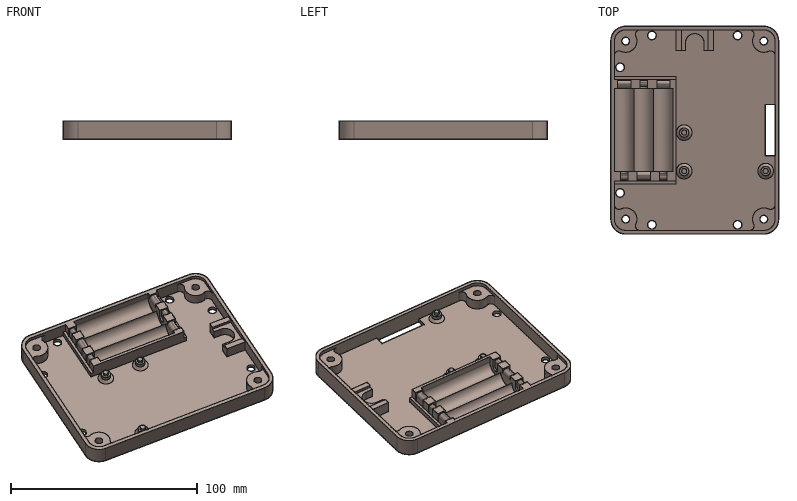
import cadquery as cq
import math

length_x = 90.0
length_y = 111.4
height = 10.0
wall = 2.0
floor = 2.0
outer_radius = 8.0
inner_x = length_x / 2 - wall
inner_y = length_y / 2 - wall
inner_radius = outer_radius - wall

boss_x = length_x / 2 - outer_radius
boss_y = length_y / 2 - outer_radius
boss_radius = inner_radius
boss_blend_radius = 2.5
boss_top = 8.0
screw_hole_diameter = 4.0

floor_hole_diameter = 4.5
floor_hole_wall_gap = 3.0
end_hole_x = 23.0
side_hole_y = 33.6
window_width = 5.2
window_length = 27.4

cradle_width = 20.2
cradle_length = 11.0
cradle_height = 5.0
ridge_width = 3.0
ridge_height = 6.5
notch_width = 10.0
notch_centre_y = 46.7

pin_places = [(-5.7, -1.3), (-5.7, -22.0), (38.0, -22.0)]
foot_diameter = 8.4
foot_height = 1.3
post_diameter = 5.0
post_height = 2.0
pin_diameter = 2.8
pin_height = 1.6

cell_radius = 5.2
cell_count = 3
cell_length = 44.6
cell_axis_z = 6.3
holder_side_wall = 1.6
holder_end_wall = 4.9
holder_ledge = 1.6
holder_ledge_top = 4.8
holder_inner_x = -inner_x + cell_count * 2 * cell_radius
holder_outer_x = holder_inner_x + holder_side_wall
holder_half_length = cell_length / 2 + holder_end_wall

contact_recess = 0.6
wide_slot_width = 7.0
wide_bar_thickness = holder_end_wall - contact_recess
wide_bar_round = 2.0
narrow_slot_width = 4.0
narrow_bar_setback = 1.1
narrow_bar_thickness = wide_bar_thickness - narrow_bar_setback
narrow_bar_round = 1.0
bar_top = 9.4
slot_bottom_z = 3.6
recess_bottom_z = 3.0


def block(x_min, x_max, y_min, y_max, z_min, z_max):
    size = (x_max - x_min, y_max - y_min, z_max - z_min)
    return cq.Workplane("XY").box(*size, centered=False).translate((x_min, y_min, z_min))


def rounded_block(half_x, half_y, radius, z_min, z_max):
    return block(-half_x, half_x, -half_y, half_y, z_min, z_max).edges("|Z").fillet(radius)


def in_four_quadrants(x, y):
    return [(x, y), (-x, y), (x, -y), (-x, -y)]


def corner_boss():
    """Boss of the +X +Y corner, blended into both walls by concave arcs."""
    reach = math.sqrt((boss_radius + boss_blend_radius) ** 2 - (boss_radius - boss_blend_radius) ** 2)
    tangent_share = boss_radius / (boss_radius + boss_blend_radius)
    near = tangent_share * (boss_radius - boss_blend_radius)
    far = tangent_share * reach
    diagonal = boss_radius * math.sqrt(0.5)
    return (
        cq.Workplane("XY", origin=(boss_x, boss_y, floor))
        .moveTo(0, boss_radius)
        .lineTo(-reach, boss_radius)
        .radiusArc((-far, near), boss_blend_radius)
        .threePointArc((-diagonal, -diagonal), (near, -far))
        .radiusArc((boss_radius, -reach), boss_blend_radius)
        .lineTo(boss_radius, 0)
        .threePointArc((diagonal, diagonal), (0, boss_radius))
        .close()
        .extrude(boss_top - floor)
    )


def cradle():
    half = cradle_width / 2
    y_min = inner_y - cradle_length
    body = block(-half, half, y_min, inner_y, floor, floor + cradle_height)
    for x_min in (-half, half - ridge_width):
        body = body.union(block(x_min, x_min + ridge_width, y_min, inner_y, floor, floor + ridge_height))
    notch = block(-notch_width / 2, notch_width / 2, y_min, notch_centre_y, floor, height)
    notch_end = cq.Workplane("XY", origin=(0, notch_centre_y, floor)).circle(notch_width / 2).extrude(height)
    return body.cut(notch).cut(notch_end)


def stepped_pin(x, y):
    foot_top = floor + foot_height
    post_top = foot_top + post_height
    pin_top = post_top + pin_height
    return (
        cq.Workplane("XZ", origin=(x, y, 0))
        .moveTo(0, floor)
        .lineTo(foot_diameter / 2, floor)
        .lineTo(post_diameter / 2, foot_top)
        .lineTo(post_diameter / 2, post_top)
        .lineTo(pin_diameter / 2, post_top)
        .lineTo(pin_diameter / 2, pin_top)
        .lineTo(0, pin_top)
        .close()
        .revolve(360, (0, 0, 0), (0, 1, 0))
    )


def cell_axis_x(cell):
    return -inner_x + (2 * cell + 1) * cell_radius


def cell_troughs():
    """Space for the cells: half-round troughs side by side, open to the top."""
    outline = cq.Workplane("XZ", origin=(0, cell_length / 2, 0)).moveTo(-inner_x, height)
    outline = outline.lineTo(-inner_x, cell_axis_z)
    for cell in range(cell_count):
        x = cell_axis_x(cell)
        outline = outline.threePointArc((x, cell_axis_z - cell_radius), (x + cell_radius, cell_axis_z))
    return outline.lineTo(holder_inner_x, height).close().extrude(cell_length)


def round_edged_bar(x, width, y_min, y_max, edge_radius):
    bar = block(x - width / 2, x + width / 2, y_min, y_max, recess_bottom_z, bar_top)
    return bar.edges("|X and >Z").fillet(edge_radius)


def contact_gap(holder, x, width):
    """Opens the +Y end wall across its whole thickness, down to the foot of the contact bar."""
    y_in = cell_length / 2
    y_bar_out = holder_half_length - contact_recess
    opening = block(x - width / 2, x + width / 2, y_in, holder_half_length, bar_top - wide_bar_round, height)
    recess = block(x - width / 2, x + width / 2, y_bar_out, holder_half_length, recess_bottom_z, height)
    return holder.cut(opening).cut(recess)


def wide_contact(holder, x):
    """Gap in the +Y end wall, holding a bar flush with the trough end."""
    y_in = cell_length / 2
    bar = round_edged_bar(x, wide_slot_width, y_in, y_in + wide_bar_thickness, wide_bar_round)
    return contact_gap(holder, x, wide_slot_width).union(bar)


def narrow_contact(holder, x):
    """Gap in the +Y end wall, holding a bar set back behind a round-bottomed slot."""
    radius = narrow_slot_width / 2
    y_in = cell_length / 2
    y_bar_in = y_in + narrow_bar_setback
    slot_centre_z = slot_bottom_z + radius
    slot = block(x - radius, x + radius, y_in, y_bar_in, slot_centre_z, height)
    slot_end = cq.Workplane("XZ", origin=(x, y_bar_in, slot_centre_z)).circle(radius)
    slot = slot.union(slot_end.extrude(narrow_bar_setback))
    bar = round_edged_bar(x, narrow_slot_width, y_bar_in, y_bar_in + narrow_bar_thickness, narrow_bar_round)
    return contact_gap(holder, x, narrow_slot_width).cut(slot).union(bar)


def turned_end_for_end(body):
    return body.mirror("XZ")


def battery_holder():
    """Holder body with its contacts; wide and narrow ones alternate and swap at the other end."""
    ledge_end = holder_half_length + holder_ledge
    ledge = block(-inner_x, holder_outer_x, -ledge_end, ledge_end, floor, holder_ledge_top)
    body = block(-inner_x, holder_outer_x, -holder_half_length, holder_half_length, floor, height)
    body = body.union(ledge)
    for wide_parity in (0, 1):
        for cell in range(cell_count):
            add_contact = wide_contact if cell % 2 == wide_parity else narrow_contact
            body = add_contact(body, cell_axis_x(cell))
        body = turned_end_for_end(body)
    return body


result = rounded_block(length_x / 2, length_y / 2, outer_radius, 0, height)
result = result.cut(rounded_block(inner_x, inner_y, inner_radius, floor, height))

boss = corner_boss()
for fitting in (boss, boss.mirror("YZ"), boss.mirror("XZ"), boss.mirror("YZ").mirror("XZ")):
    result = result.union(fitting)
result = result.union(cradle())
result = result.union(battery_holder())
for pin_x, pin_y in pin_places:
    result = result.union(stepped_pin(pin_x, pin_y))

result = result.cut(cell_troughs())

screw_holes = in_four_quadrants(boss_x, boss_y)
floor_holes = in_four_quadrants(end_hole_x, inner_y - floor_hole_wall_gap)
floor_holes += [(floor_hole_wall_gap - inner_x, y) for y in (side_hole_y, -side_hole_y)]
for places, diameter in ((screw_holes, screw_hole_diameter), (floor_holes, floor_hole_diameter)):
    result = result.cut(cq.Workplane("XY").pushPoints(places).circle(diameter / 2).extrude(height))

result = result.cut(
    block(inner_x - window_width, inner_x, -window_length / 2, window_length / 2, 0, floor)
)